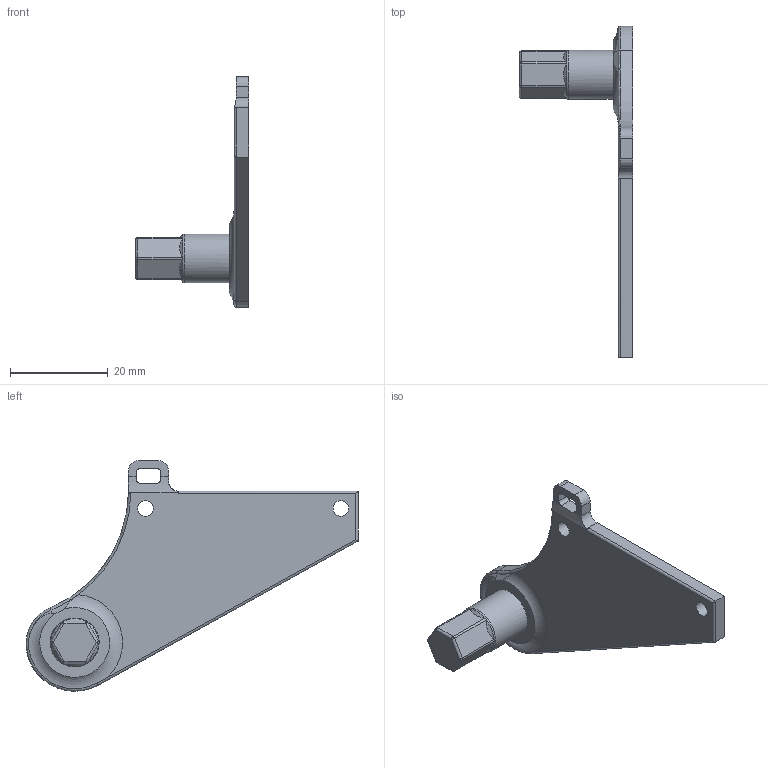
import cadquery as cq
import math


plate_thickness = 3.0
plate_edge_radius = 0.5
plate_end_y = -57.99
plate_top_z = 30.95
plate_end_bottom_z = 20.72
eye_radius = 10.0
neck_radius = 8.0
hollow_radius = 26.0
hollow_center = (15.0, 31.1)

hole_diameter = 3.2
hole_inset = 3.5
hole_spacing = 40.0

tab_thickness = plate_thickness - plate_edge_radius
tab_inner_y = hollow_center[0] - hollow_radius
tab_width = 8.2
tab_outer_y = tab_inner_y - tab_width
tab_top_z = 37.2
tab_corner_radius = 2.0
tab_wall = 1.6
slot_width = tab_width - 2 * tab_wall
slot_height = 3.0
slot_corner_radius = 0.8
ramp_radius = 11.5
ramp_top_z = 34.0

pad_height = 1.0
pad_radius = 7.15
flare_radius = 4.0

spindle_length = 23.2
spindle_radius = 5.0
shoulder_x = -13.4
shoulder_edge_radius = 0.5
cone_length = 0.75
hex_edge_radius = 0.5
hex_apothem = spindle_radius * math.cos(math.pi / 6)


def polar(center, radius, angle):
    """Point at an angle (radians) on a circle in the plate plane."""
    return (center[0] + radius * math.cos(angle), center[1] + radius * math.sin(angle))


def direction(start, end):
    """Angle (radians) of the line from start to end."""
    return math.atan2(end[1] - start[1], end[0] - start[0])


def plate_outline():
    """Eye, neck and hollow run into each other tangentially; the lower edge is tangent to the eye."""
    eye_center = (0.0, 0.0)

    eye_to_neck = eye_radius - neck_radius
    hollow_to_neck = hollow_radius + neck_radius
    eye_to_hollow = math.hypot(*hollow_center)
    cosine = (eye_to_neck**2 + eye_to_hollow**2 - hollow_to_neck**2) / (2 * eye_to_neck * eye_to_hollow)
    neck_angle = direction(eye_center, hollow_center) - math.acos(cosine)
    neck_center = polar(eye_center, eye_to_neck, neck_angle)
    neck_to_hollow = direction(neck_center, hollow_center)
    hollow_to_neck_angle = neck_to_hollow - math.pi

    corner = (plate_end_y, plate_end_bottom_z)
    tangent_angle = direction(eye_center, corner) + math.acos(eye_radius / math.hypot(*corner))
    eye_end_angle = neck_angle + 2 * math.pi

    hollow_end = (tab_inner_y, plate_top_z)
    hollow_end_angle = direction(hollow_center, hollow_end)
    return (
        cq.Workplane("YZ")
        .moveTo(*corner)
        .lineTo(*polar(eye_center, eye_radius, tangent_angle))
        .threePointArc(
            polar(eye_center, eye_radius, (tangent_angle + eye_end_angle) / 2),
            polar(eye_center, eye_radius, eye_end_angle),
        )
        .threePointArc(
            polar(neck_center, neck_radius, (neck_angle + neck_to_hollow) / 2),
            polar(neck_center, neck_radius, neck_to_hollow),
        )
        .threePointArc(
            polar(hollow_center, hollow_radius, (hollow_to_neck_angle + hollow_end_angle) / 2),
            hollow_end,
        )
        .lineTo(plate_end_y, plate_top_z)
        .close()
    )


def make_plate():
    return plate_outline().extrude(-plate_thickness).faces("<X").edges().fillet(plate_edge_radius)


def make_tab():
    """Rounded tab whose front face ramps down to the plate face in a hollow curve."""
    bottom_z = plate_top_z - plate_edge_radius
    foot_y = tab_outer_y - tab_corner_radius
    rounding = tab_corner_radius * math.sqrt(0.5)
    root_center = (foot_y, plate_top_z + tab_corner_radius)
    outline = (
        cq.Workplane("YZ")
        .moveTo(tab_inner_y, bottom_z)
        .lineTo(tab_inner_y, tab_top_z)
        .lineTo(tab_outer_y, tab_top_z)
        .lineTo(tab_outer_y, root_center[1])
        .threePointArc((root_center[0] + rounding, root_center[1] - rounding), (foot_y, plate_top_z))
        .lineTo(foot_y, bottom_z)
        .close()
        .extrude(-plate_thickness)
    )
    blank = outline.faces(">Z").edges("|X").fillet(tab_corner_radius)

    step = plate_thickness - tab_thickness
    ramp_height = math.sqrt(ramp_radius**2 - (ramp_radius - step) ** 2)
    mid_angle = math.asin(ramp_height / ramp_radius) / 2
    ramp_middle = (
        -tab_thickness - ramp_radius * (1 - math.cos(mid_angle)),
        ramp_top_z - ramp_radius * math.sin(mid_angle),
    )
    side_profile = (
        cq.Workplane("XZ", origin=(0, tab_inner_y, 0))
        .moveTo(0, bottom_z)
        .lineTo(0, tab_top_z)
        .lineTo(-tab_thickness, tab_top_z)
        .lineTo(-tab_thickness, ramp_top_z)
        .threePointArc(ramp_middle, (-plate_thickness, ramp_top_z - ramp_height))
        .lineTo(-plate_thickness, bottom_z)
        .close()
        .extrude(tab_inner_y - foot_y)
    )

    slot_center_y = (tab_inner_y + tab_outer_y) / 2
    slot_center_z = tab_top_z - tab_wall - slot_height / 2
    slot = (
        cq.Workplane("YZ")
        .center(slot_center_y, slot_center_z)
        .rect(slot_width, slot_height)
        .extrude(-plate_thickness)
        .edges("|X")
        .fillet(slot_corner_radius)
    )
    return blank.intersect(side_profile).cut(slot)


def make_pad():
    """Round pad whose flank flares into the plate face, trimmed at 45 degrees along the plate edge."""
    pad_face_x = -plate_thickness - pad_height
    flare_run = math.sqrt(flare_radius**2 - (flare_radius - pad_height) ** 2)
    foot_radius = pad_radius + flare_run
    mid_angle = math.asin(flare_run / flare_radius) / 2
    flare_middle = (
        -plate_thickness - flare_radius * (1 - math.cos(mid_angle)),
        foot_radius - flare_radius * math.sin(mid_angle),
    )
    pad = (
        cq.Workplane("XY")
        .moveTo(-plate_thickness, 0)
        .lineTo(pad_face_x, 0)
        .lineTo(pad_face_x, pad_radius)
        .threePointArc(flare_middle, (-plate_thickness, foot_radius))
        .close()
        .revolve(360, (0, 0, 0), (1, 0, 0))
    )
    trim_block = plate_outline().offset2D(-plate_edge_radius).extrude(pad_face_x)
    trim = trim_block.faces("<X").edges().chamfer(pad_height)
    return pad.intersect(trim)


def make_spindle():
    """Round shank with a conical shoulder that turns into a hexagon with rounded edges."""
    shank = (
        cq.Workplane("XY")
        .moveTo(-plate_thickness, 0)
        .lineTo(shoulder_x - cone_length, 0)
        .lineTo(shoulder_x - cone_length, hex_apothem)
        .lineTo(shoulder_x, spindle_radius)
        .lineTo(-plate_thickness, spindle_radius)
        .close()
        .revolve(360, (0, 0, 0), (1, 0, 0))
        .edges(cq.selectors.RadiusNthSelector(-1))
        .edges("<X")
        .fillet(shoulder_edge_radius)
    )
    hexagon = (
        cq.Workplane("YZ", origin=(-plate_thickness, 0, 0))
        .polygon(6, 2 * spindle_radius)
        .extrude(plate_thickness - spindle_length)
        .edges("|X")
        .fillet(hex_edge_radius)
        .faces("<X")
        .edges()
        .fillet(hex_edge_radius)
    )
    return shank.union(hexagon)


def make_holes():
    outer_hole_y = plate_end_y + hole_inset
    hole_z = plate_top_z - hole_inset
    return (
        cq.Workplane("YZ")
        .pushPoints([(outer_hole_y, hole_z), (outer_hole_y + hole_spacing, hole_z)])
        .circle(hole_diameter / 2)
        .extrude(-plate_thickness)
    )


result = make_plate().union(make_tab()).union(make_pad()).union(make_spindle()).cut(make_holes())